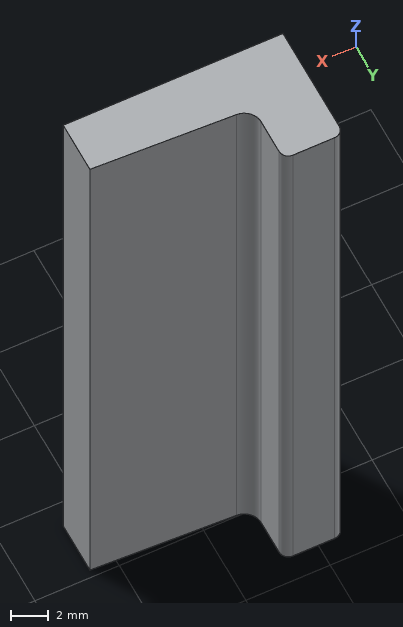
import cadquery as cq

LENGTH = 38.1
WIDTH = 13.05
HEIGHT = 7.19
LIP_WIDTH = 3.58
FLANGE_ROOT = 3.575
FLANGE_TIP = 3.165
LIP_RADIUS = 0.55
ROOT_RADIUS = 1.0


def angle_profile():
    """Sharp-cornered L section with a tapered flange, centred on its bounding box."""
    left = -WIDTH / 2
    right = WIDTH / 2
    bottom = -HEIGHT / 2
    top = HEIGHT / 2
    lip_side = left + LIP_WIDTH
    return (
        cq.Workplane("XY")
        .workplane(offset=-LENGTH / 2)
        .moveTo(left, bottom)
        .lineTo(right, bottom)
        .lineTo(right, bottom + FLANGE_TIP)
        .lineTo(lip_side, bottom + FLANGE_ROOT)
        .lineTo(lip_side, top)
        .lineTo(left, top)
        .close()
    )


def round_edges(body):
    """Round both lip corners and fillet the inside corner at the lip root."""
    lip_corners = body.faces(">Y").edges("|Z")
    body = lip_corners.fillet(LIP_RADIUS)
    root_point = (-WIDTH / 2 + LIP_WIDTH, -HEIGHT / 2 + FLANGE_ROOT, 0)
    root_edge = body.edges("|Z").edges(cq.NearestToPointSelector(root_point))
    return root_edge.fillet(ROOT_RADIUS)


result = round_edges(angle_profile().extrude(LENGTH))